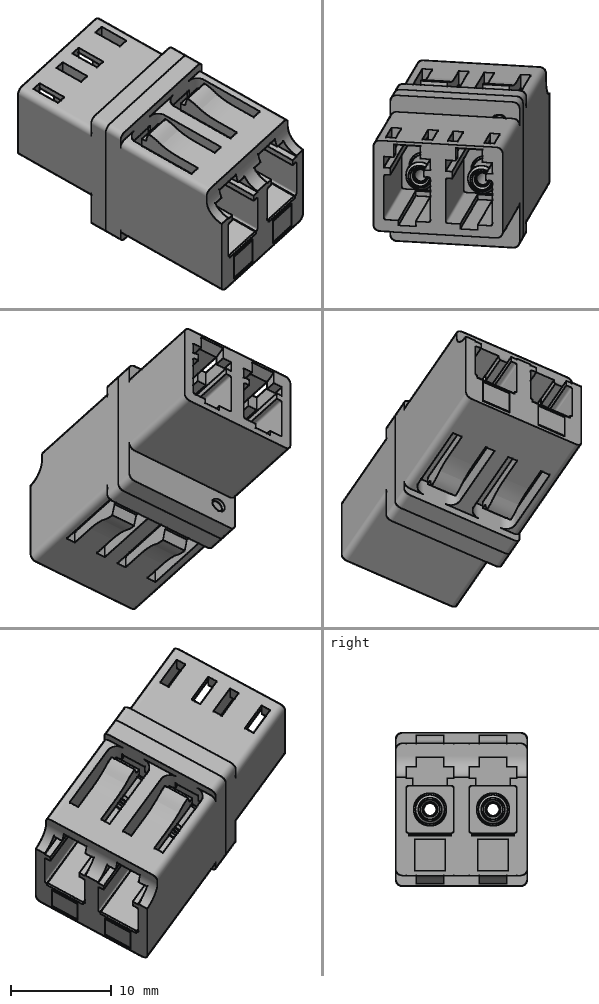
import cadquery as cq


plug_face_x = 0.0
flange_start_x = 9.25
split_x = 11.1
flange_end_x = 12.97
rear_face_x = 25.75

width = 13.08
flange_half_height = 7.62
plug_top_z = 5.9
plug_bottom_z = -3.6
rear_half_height = 6.56
corner_radius = 0.67

port_y = 3.13
port_half = 2.35
port_corner_radius = 0.23
neck_half = 1.7
wing_bottom_z = 3.07
wing_top_z = 4.25
key_half = 1.35
key_top_z = 5.58
key_ceiling_z = 5.17
groove_half = 0.88
groove_bottom_z = -2.87
wall_half_thickness = 1.15
keyway_wall_half_thickness = 1.6
front_wall_x = split_x - wall_half_thickness
rear_wall_x = split_x + wall_half_thickness
front_keyway_wall_x = split_x - keyway_wall_half_thickness
rear_keyway_wall_x = split_x + keyway_wall_half_thickness

floor_fall = 0.13
floor_lead_in = 0.15

window_start_x = 1.14
window_end_x = 4.25

boss_length = 4.13
boss_radius = 1.45
boss_chamfer = 0.28
boss_flare = 0.18
mouth_radius = 0.75
mouth_chamfer = 0.23
sleeve_outer_radius = 0.85
sleeve_bore_radius = 0.62
sleeve_half_length = 3.62

pin_radius = 0.75
pin_tip_chamfer = 0.15
pin_y = -4.5
pin_heights = (5.48, -5.32)

latch_slot_end_x = 21.15
latch_slot_radius = 1.09
arm_start_x = 14.05
arm_ledge_z = 6.2
barb_foot_x = 14.52
barb_tip = (14.88, 7.4)
barb_crest_middle = (15.53, 7.29)
barb_crest_end = (16.15, 7.05)
barb_run_out_start = (16.56, 6.87)
barb_run_out_middle = (17.55, 6.65)
barb_run_out_end_x = 18.55

scoop_wall_x = 23.85
scoop_radius = 2.07
scoop_center_z = 5.27

pad_width = 3.0
pad_bottom_z = -6.1
pad_top_z = -2.97
pad_thickness = 0.08

port_centers = (-port_y, port_y)


def block(x0, x1, y0, y1, z0, z1):
    """Axis-aligned box between the given limits."""
    return cq.Workplane("XY").box(x1 - x0, y1 - y0, z1 - z0, centered=False).translate((x0, y0, z0))


def rounded_bar(x0, x1, half_width, z0, z1, radius):
    """Bar along X with rounded long edges."""
    return block(x0, x1, -half_width, half_width, z0, z1).edges("|X").fillet(radius)


def rod(x0, x1, y, z, radius):
    """Cylinder along X."""
    return cq.Workplane("YZ", origin=(x0, y, z)).circle(radius).extrude(x1 - x0)


def prism(outline, y, half_width):
    """Extrude a closed XZ outline evenly to both sides of a port centre."""
    return outline.extrude(half_width, both=True).translate((0, y, 0))


def port_box(x0, x1, y):
    """Rounded square socket for the connector body."""
    return rounded_bar(x0, x1, port_half, -port_half, port_half, port_corner_radius).translate((0, y, 0))


def port_keyway(x0, x1, y):
    """Neck, side wings and latch keyway above the socket, shallower than the socket."""
    keyway = block(x0, x1, -neck_half, neck_half, 0, wing_top_z)
    keyway = keyway.union(block(x0, x1, -port_half, port_half, wing_bottom_z, wing_top_z))
    keyway = keyway.union(block(x0, x1, -key_half, key_half, 0, key_ceiling_z))
    return keyway.translate((0, y, 0))


def port_groove(x0, x1, y):
    """Shallow groove along the socket floor."""
    return block(x0, x1, y - groove_half, y + groove_half, groove_bottom_z, 0)


def key_lead_in(y):
    """Sloped ceiling at the mouth of a front keyway."""
    outline = cq.Workplane("XZ").polyline(
        [(plug_face_x, key_ceiling_z), (plug_face_x, key_top_z), (window_start_x, key_ceiling_z)]
    ).close()
    return prism(outline, y, key_half)


def rear_floor_relief(y):
    """Falling floor and lead-in chamfer of a rear port."""
    chamfer_x = rear_face_x - floor_lead_in
    chamfer_z = -port_half - floor_fall
    outline = cq.Workplane("XZ").polyline([
        (rear_wall_x, -port_half),
        (chamfer_x, chamfer_z),
        (rear_face_x, chamfer_z - floor_lead_in),
        (rear_face_x, -port_half),
    ]).close()
    return prism(outline, y, port_half - port_corner_radius)


def half_boss(y, side):
    """Boss on the port wall, turned about the fibre axis; side is -1 for front, 1 for rear."""
    tip = boss_length
    profile = cq.Workplane("XY").polyline([
        (0, 0),
        (0, boss_radius + boss_flare),
        (wall_half_thickness, boss_radius + boss_flare),
        (wall_half_thickness + boss_flare, boss_radius),
        (tip - boss_chamfer, boss_radius),
        (tip, boss_radius - boss_chamfer),
        (tip, 0),
    ]).close()
    boss = profile.revolve(360, (0, 0, 0), (1, 0, 0))
    return place_half(boss, y, side)


def half_boss_bore(y, side):
    """Sleeve seat with a smaller countersunk mouth."""
    tip = boss_length
    profile = cq.Workplane("XY").polyline([
        (0, 0),
        (0, sleeve_outer_radius),
        (sleeve_half_length, sleeve_outer_radius),
        (sleeve_half_length, mouth_radius),
        (tip - mouth_chamfer, mouth_radius),
        (tip, mouth_radius + mouth_chamfer),
        (tip, 0),
    ]).close()
    bore = profile.revolve(360, (0, 0, 0), (1, 0, 0))
    return place_half(bore, y, side)


def place_half(shape, y, side):
    """Move a shape made along +X to a fibre axis, pointing away from the split plane."""
    if side < 0:
        shape = shape.mirror("YZ")
    return shape.translate((split_x, y, 0))


def flange_half(x0, x1):
    """One housing's share of the panel flange."""
    return rounded_bar(x0, x1, width / 2, -flange_half_height, flange_half_height, corner_radius)


def plug_windows(y):
    """Two windows through the plug roof into the port wings."""
    windows = cq.Workplane("XY")
    for inner, outer in ((-port_half, -key_half), (key_half, port_half)):
        windows = windows.add(
            block(window_start_x, window_end_x, y + inner, y + outer, wing_bottom_z, plug_top_z)
        )
    return windows.combine()


def make_front_housing():
    """Plug-side housing with two ports, half of the flange and holes for the pins."""
    body = rounded_bar(plug_face_x, split_x, width / 2, plug_bottom_z, plug_top_z, corner_radius)
    body = body.union(flange_half(flange_start_x, split_x))
    for y in port_centers:
        body = body.cut(port_box(plug_face_x, front_wall_x, y))
        body = body.cut(port_keyway(plug_face_x, front_keyway_wall_x, y))
        body = body.cut(port_groove(plug_face_x, front_keyway_wall_x, y))
        body = body.cut(key_lead_in(y))
        body = body.cut(plug_windows(y))
        body = body.union(half_boss(y, -1))
        body = body.cut(half_boss_bore(y, -1))
    for z in pin_heights:
        body = body.cut(rod(flange_start_x, split_x, pin_y, z, pin_radius))
    return body


def latch_slot(y):
    """Pocket around and beneath an upper latch arm."""
    slot = block(flange_end_x, latch_slot_end_x, -port_half, port_half, wing_top_z, rear_half_height)
    slot = slot.edges("|Z and <X").fillet(latch_slot_radius)
    return slot.translate((0, y, 0))


def latch_arm(y):
    """Upper spring arm with a barb that rises above the housing."""
    outline = (
        cq.Workplane("XZ")
        .moveTo(arm_start_x, key_ceiling_z)
        .lineTo(arm_start_x, arm_ledge_z)
        .lineTo(barb_foot_x, arm_ledge_z)
        .lineTo(*barb_tip)
        .threePointArc(barb_crest_middle, barb_crest_end)
        .lineTo(*barb_run_out_start)
        .threePointArc(barb_run_out_middle, (barb_run_out_end_x, rear_half_height))
        .lineTo(latch_slot_end_x, rear_half_height)
        .lineTo(latch_slot_end_x, key_ceiling_z)
        .close()
    )
    return prism(outline, y, key_half)


def finger_scoop():
    """Concave round across the upper rear edge."""
    scoop = (
        cq.Workplane("XZ")
        .moveTo(scoop_wall_x + scoop_radius, scoop_center_z)
        .circle(scoop_radius)
        .extrude(width / 2, both=True)
    )
    above = block(scoop_wall_x, rear_face_x, -width / 2, width / 2, scoop_center_z, rear_half_height)
    return scoop.union(above)


def locating_pin(z):
    """Pin that fills the flange hole up to the keyway wall, with a chamfered tip."""
    pin = rod(front_keyway_wall_x, split_x, pin_y, z, pin_radius)
    return pin.faces("<X").chamfer(pin_tip_chamfer)


def make_rear_housing():
    """Rear housing with two ports, spring latches above and below, pins and marking pads."""
    body = rounded_bar(
        split_x, rear_face_x, width / 2, -rear_half_height, rear_half_height, corner_radius
    )
    body = body.union(flange_half(split_x, flange_end_x))
    body = body.cut(finger_scoop())
    for y in port_centers:
        body = body.cut(port_box(rear_wall_x, rear_face_x, y))
        body = body.cut(port_keyway(rear_keyway_wall_x, rear_face_x, y))
        body = body.cut(rear_floor_relief(y))
        slot = latch_slot(y)
        arm = latch_arm(y)
        body = body.cut(slot).cut(slot.mirror("XY"))
        body = body.union(arm).union(arm.mirror("XY"))
        body = body.union(half_boss(y, 1))
        body = body.cut(half_boss_bore(y, 1))
        body = body.union(block(
            rear_face_x, rear_face_x + pad_thickness,
            y - pad_width / 2, y + pad_width / 2,
            pad_bottom_z, pad_top_z,
        ))
    for z in pin_heights:
        body = body.union(locating_pin(z))
    return body


def make_sleeve(y):
    """Tube that spans the split plane inside both bosses."""
    start_x = split_x - sleeve_half_length
    end_x = split_x + sleeve_half_length
    return rod(start_x, end_x, y, 0, sleeve_outer_radius).cut(rod(start_x, end_x, y, 0, sleeve_bore_radius))


front_housing = make_front_housing()
rear_housing = make_rear_housing()
sleeves = [make_sleeve(y) for y in port_centers]

result = cq.Compound.makeCompound(
    [front_housing.val(), rear_housing.val(), *[sleeve.val() for sleeve in sleeves]]
)